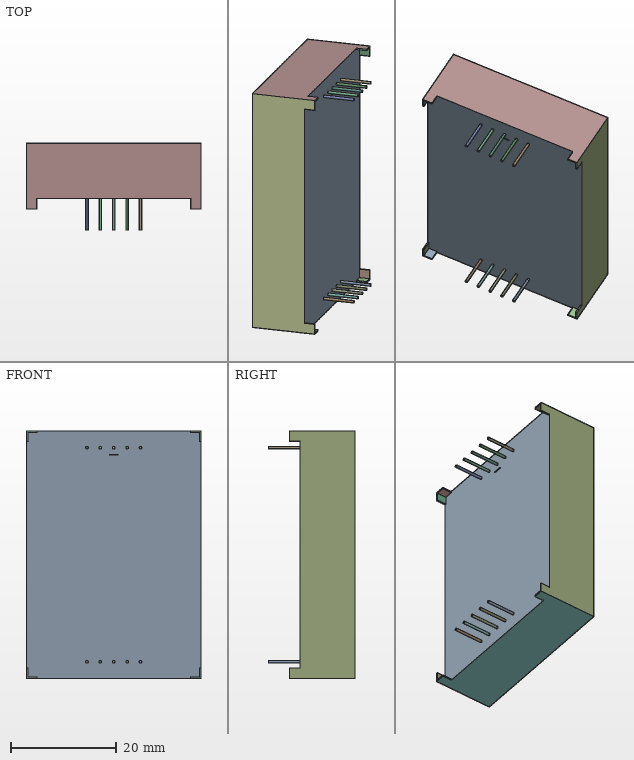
import cadquery as cq

BODY_WIDTH = 33.15
BODY_HEIGHT = 47.0
BODY_DEPTH = 10.5

FOOT_LENGTH = 2.0
FOOT_WIDTH = 2.0
FOOT_WALL = 0.3

PIN_DIAMETER = 0.5
PIN_LENGTH = 6.0
PIN_PITCH = 2.54
PINS_PER_ROW = 5
PIN_ROWS = 2
PITCHES_BETWEEN_ROWS = 16
PIN_ROW_SPACING = PITCHES_BETWEEN_ROWS * PIN_PITCH

MARK_LENGTH = 1.7
MARK_WIDTH = 0.1
MARK_DEPTH = 0.1
MARK_OFFSET = 1.35


def make_body():
    return cq.Workplane("XY").box(
        BODY_WIDTH, BODY_DEPTH, BODY_HEIGHT, centered=(True, False, True)
    )


def make_foot(side_x, side_z):
    """L-shaped foot in the corner given by the signs of X and Z."""
    corner_x = side_x * BODY_WIDTH / 2
    corner_z = side_z * BODY_HEIGHT / 2
    return (
        cq.Workplane("XZ")
        .moveTo(corner_x, corner_z)
        .line(-side_x * FOOT_WIDTH, 0)
        .line(0, -side_z * FOOT_WALL)
        .line(side_x * (FOOT_WIDTH - FOOT_WALL), 0)
        .line(0, -side_z * (FOOT_WIDTH - FOOT_WALL))
        .line(side_x * FOOT_WALL, 0)
        .close()
        .extrude(FOOT_LENGTH)
    )


def make_pins():
    return (
        cq.Workplane("XZ")
        .rarray(PIN_PITCH, PIN_ROW_SPACING, PINS_PER_ROW, PIN_ROWS)
        .circle(PIN_DIAMETER / 2)
        .extrude(PIN_LENGTH)
    )


def make_index_mark():
    return (
        cq.Workplane("XZ")
        .center(0, PIN_ROW_SPACING / 2 - MARK_OFFSET)
        .rect(MARK_LENGTH, MARK_WIDTH)
        .extrude(-MARK_DEPTH)
    )


result = make_body().cut(make_index_mark()).union(make_pins())
for side_x in (-1, 1):
    for side_z in (-1, 1):
        result = result.union(make_foot(side_x, side_z))